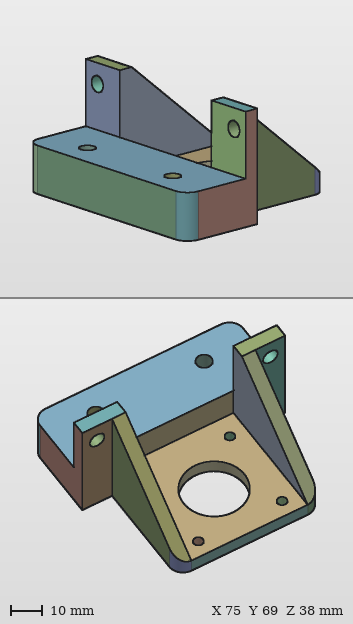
import cadquery as cq

width = 75.0
depth = 69.0
height = 38.0
corner_radius = 5.0

bar_height = 16.0
bar_depth = 25.0
tab_depth = 5.0
tab_back = bar_depth + tab_depth

bay_width = 43.0
wall_thickness = 5.0
floor_thickness = 5.0
bay_outer_width = bay_width + 2 * wall_thickness

screw_diameter = 5.4
tab_hole_edge_distance = 5.5
tab_hole_drop = 7.0
tab_hole_spacing = width - 2 * tab_hole_edge_distance
bar_hole_spacing = 40.0
bar_hole_y = 10.0
bar_hole_depth = 12.0
motor_center_y = 48.0
motor_bore_diameter = 22.4
motor_screw_spacing = 31.0
motor_screw_diameter = 3.4


def block(size_x, y_start, y_end, z_start, z_end):
    """Box centred on the mid plane, spanning the given Y and Z ranges."""
    return (
        cq.Workplane("XY")
        .box(size_x, y_end - y_start, z_end - z_start, centered=(True, False, False))
        .translate((0, y_start, z_start))
    )


def front_bar():
    """Bar with rounded front corners, carrying the full-width tab blank."""
    bar = block(width, 0, tab_back, 0, bar_height).edges("|Z and <Y").fillet(corner_radius)
    return bar.union(block(width, bar_depth, tab_back, 0, height))


def sloping_bay():
    """Wedge behind the tabs, falling to floor level at its rounded rear corners."""
    wedge = (
        cq.Workplane("YZ")
        .moveTo(tab_back, 0)
        .lineTo(depth, 0)
        .lineTo(depth, floor_thickness)
        .lineTo(tab_back, height)
        .close()
        .extrude(bay_outer_width / 2, both=True)
    )
    rounding = block(bay_outer_width, 0, depth, 0, height).edges("|Z and >Y").fillet(corner_radius)
    return wedge.intersect(rounding)


def bar_holes():
    """Blind screw holes drilled down into the bar."""
    return (
        cq.Workplane("XY", origin=(0, bar_hole_y, bar_height))
        .rarray(bar_hole_spacing, 0.75, 2, 1)
        .circle(screw_diameter / 2)
        .extrude(-bar_hole_depth)
    )


def tab_holes():
    """Screw holes running front to back through the tabs."""
    return (
        cq.Workplane("XZ", origin=(0, bar_depth, height - tab_hole_drop))
        .rarray(tab_hole_spacing, 0.75, 2, 1)
        .circle(screw_diameter / 2)
        .extrude(-tab_depth)
    )


def motor_holes():
    """Central bore and four screw holes through the bay floor."""
    floor = cq.Workplane("XY", origin=(0, motor_center_y, 0))
    bore = floor.circle(motor_bore_diameter / 2).extrude(floor_thickness)
    screws = (
        floor.rarray(motor_screw_spacing, motor_screw_spacing, 2, 2)
        .circle(motor_screw_diameter / 2)
        .extrude(floor_thickness)
    )
    return bore.union(screws)


bay_pocket = block(bay_width, bar_depth, depth, floor_thickness, height)

result = (
    front_bar()
    .union(sloping_bay())
    .cut(bay_pocket)
    .cut(bar_holes())
    .cut(tab_holes())
    .cut(motor_holes())
)